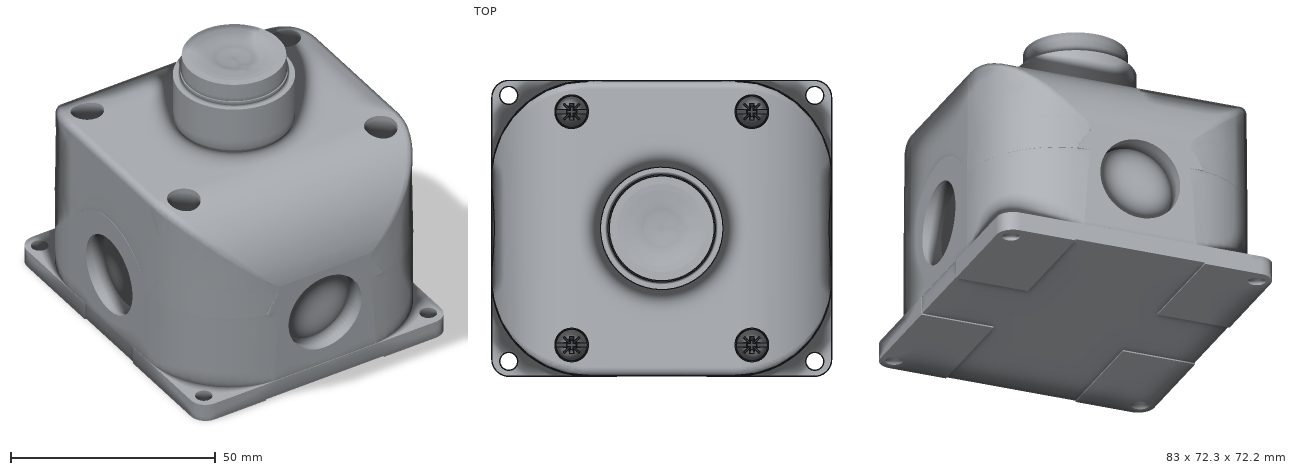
import cadquery as cq
import math

LENGTH = 83.0
WIDTH = 72.3
HEIGHT = 72.2
HALF_LENGTH = LENGTH / 2
HALF_WIDTH = WIDTH / 2

PLATE_THICKNESS = 4.8
PLATE_CORNER_RADIUS = 4.2
MOUNT_HOLE_DIAMETER = 4.3
MOUNT_HOLE_SPACING = (74.7, 64.9)
UNDERSIDE_RELIEF = 0.3
CHANNEL_ALONG_X_WIDTH = 34.2
CHANNEL_ALONG_Y_WIDTH = 22.0
EDGE_RELIEF = 0.2

COVER_TOP = 53.2
PARTING_HEIGHT = 25.3
COVER_DRAFT = 0.5
WALL_INSET = 0.1
WALL_HALF_WIDTH = HALF_WIDTH - WALL_INSET
BOX_CORNER_RADIUS = 23.5
END_LEAN = 0.14
TOP_FLAT_HALF_LENGTH = 19.3
SHOULDER_HEIGHT = 32.6
TOP_EDGE_FILLET = 1.8
RIM_HALF_LENGTH = 41.1

ENTRY_HEIGHT = 19.9
ENTRY_DIAMETER = 21.1
LONG_SIDE_ENTRY_DEPTH = 5.0
END_ENTRY_DEPTH = 5.7
TAB_TOP = 36.5
TAB_HALF_WIDTH = 16.6

SCREW_SPACING = (44.0, 56.9)
SCREW_WELL_DIAMETER = 8.2
SCREW_SEAT_HEIGHT = 41.5
SCREW_HEAD_DIAMETER = 7.6
SCREW_HEAD_HEIGHT = 2.65
SCREW_RIM_HEIGHT = 0.8
SLOT_WIDTH = 1.0
SLOT_DEPTH = 2.0
CROSS_LENGTH = 4.5
CROSS_WIDTH = 1.25
CROSS_DEPTH = 2.3
CROSS_FLOOR_LENGTH = 2.2
CROSS_FLOOR_WIDTH = 0.7
STAR_LENGTH = 5.3
STAR_WIDTH = 0.4
STAR_DEPTH = 1.3

NECK_RADIUS = 14.6
NECK_HEIGHT = 1.0
COLLAR_RADIUS = 14.9
COLLAR_TOP = 66.3
FLANGE_RADIUS = 13.1
FLANGE_TOP = 67.3
FLANGE_BOTTOM = 64.3
CAP_RADIUS = 12.8
RIM_INNER_RADIUS = 10.8
DISH_RADIUS = 9.3
DISH_EDGE_DROP = 0.2
DISH_DEPTH = 1.2


def arc_middle(center, radius, degrees):
    """Point of a circle at the given angle, used as the middle point of an arc."""
    angle = math.radians(degrees)
    return (center[0] + radius * math.cos(angle), center[1] + radius * math.sin(angle))


def base_walls():
    """Upright walls of the base, from the plate up to the parting height."""
    parting_lean = END_LEAN * (SHOULDER_HEIGHT - PARTING_HEIGHT) / (SHOULDER_HEIGHT - PLATE_THICKNESS)
    walls = (
        cq.Workplane("XY", origin=(0, 0, PLATE_THICKNESS))
        .rect(LENGTH - 2 * parting_lean, 2 * WALL_HALF_WIDTH)
        .extrude(PARTING_HEIGHT - PLATE_THICKNESS)
        .edges("|Z")
        .fillet(BOX_CORNER_RADIUS)
    )
    return walls.intersect(box_envelope())


def box_envelope():
    """Profile with leaning ends, rounded shoulders and a flat top, running the full width."""
    run = HALF_LENGTH - TOP_FLAT_HALF_LENGTH
    drop = COVER_TOP - SHOULDER_HEIGHT
    radius = (run**2 + drop**2) / (2 * drop)
    sweep = math.degrees(math.asin(run / radius))
    middle_x, middle_z = arc_middle((TOP_FLAT_HALF_LENGTH, COVER_TOP - radius), radius, 90 - sweep / 2)
    return (
        cq.Workplane("XZ")
        .moveTo(END_LEAN - HALF_LENGTH, PLATE_THICKNESS)
        .lineTo(HALF_LENGTH - END_LEAN, PLATE_THICKNESS)
        .lineTo(HALF_LENGTH, SHOULDER_HEIGHT)
        .threePointArc((middle_x, middle_z), (TOP_FLAT_HALF_LENGTH, COVER_TOP))
        .lineTo(-TOP_FLAT_HALF_LENGTH, COVER_TOP)
        .threePointArc((-middle_x, middle_z), (-HALF_LENGTH, SHOULDER_HEIGHT))
        .close()
        .extrude(HALF_WIDTH, both=True)
    )


def entry_sides():
    """Yield a plane on each of the four walls, facing into the box, with the entry depth there."""
    sides = [
        ((0, -WALL_HALF_WIDTH), (0, 1), (1, 0), LONG_SIDE_ENTRY_DEPTH),
        ((0, WALL_HALF_WIDTH), (0, -1), (-1, 0), LONG_SIDE_ENTRY_DEPTH),
        ((-HALF_LENGTH, 0), (1, 0), (0, -1), END_ENTRY_DEPTH),
        ((HALF_LENGTH, 0), (-1, 0), (0, 1), END_ENTRY_DEPTH),
    ]
    for (x, y), inward, across, depth in sides:
        plane = cq.Plane(origin=(x, y, 0), xDir=(*across, 0), normal=(*inward, 0))
        yield plane, depth


def entry_tabs():
    """Arched tabs of the base that rise into matching cutouts of the cover."""
    tabs = cq.Workplane()
    for plane, depth in entry_sides():
        tab = (
            cq.Workplane(plane)
            .moveTo(-TAB_HALF_WIDTH, -PARTING_HEIGHT)
            .threePointArc((0, -TAB_TOP), (TAB_HALF_WIDTH, -PARTING_HEIGHT))
            .close()
            .extrude(depth)
        )
        tabs = tabs.add(tab.val())
    return tabs.combine().intersect(box_envelope())


def entry_recesses():
    recesses = cq.Workplane()
    for plane, depth in entry_sides():
        recess = cq.Workplane(plane).center(0, -ENTRY_HEIGHT).circle(ENTRY_DIAMETER / 2).extrude(depth)
        recesses = recesses.add(recess.val())
    return recesses.combine()


def make_base():
    plate = (
        cq.Workplane("XY")
        .box(LENGTH, WIDTH, PLATE_THICKNESS, centered=(True, True, False))
        .edges("|Z")
        .fillet(PLATE_CORNER_RADIUS)
        .faces(">Z")
        .workplane()
        .rect(*MOUNT_HOLE_SPACING, forConstruction=True)
        .vertices()
        .hole(MOUNT_HOLE_DIAMETER)
    )
    channels = (
        cq.Workplane("XY")
        .rect(LENGTH, CHANNEL_ALONG_X_WIDTH)
        .extrude(UNDERSIDE_RELIEF)
        .union(cq.Workplane("XY").rect(CHANNEL_ALONG_Y_WIDTH, WIDTH).extrude(UNDERSIDE_RELIEF))
    )
    edge_notches = (
        cq.Workplane("XY")
        .pushPoints([(0, -HALF_WIDTH), (0, HALF_WIDTH)])
        .rect(CHANNEL_ALONG_Y_WIDTH, 2 * EDGE_RELIEF)
        .extrude(PLATE_THICKNESS)
    )
    return (
        plate.cut(channels)
        .cut(edge_notches)
        .union(base_walls())
        .union(entry_tabs())
        .cut(entry_recesses())
    )


def screw_head():
    """Domed screw head at the origin with a straight slot, a cross and a thin diagonal star."""
    head_radius = SCREW_HEAD_DIAMETER / 2
    dome_rise = SCREW_HEAD_HEIGHT - SCREW_RIM_HEIGHT
    dome_radius = (head_radius**2 + dome_rise**2) / (2 * dome_rise)
    dome = cq.Workplane("XY").sphere(dome_radius).translate((0, 0, SCREW_HEAD_HEIGHT - dome_radius))
    head = cq.Workplane("XY").circle(head_radius).extrude(SCREW_HEAD_HEIGHT).intersect(dome)
    top = cq.Workplane("XY", origin=(0, 0, SCREW_HEAD_HEIGHT))
    head = head.cut(top.rect(SCREW_HEAD_DIAMETER, SLOT_WIDTH).extrude(-SLOT_DEPTH))
    for angle in (0, 90):
        arm = (
            top.rect(CROSS_LENGTH, CROSS_WIDTH)
            .workplane(offset=-CROSS_DEPTH)
            .rect(CROSS_FLOOR_LENGTH, CROSS_FLOOR_WIDTH)
            .loft(combine=False)
        )
        star = top.rect(STAR_LENGTH, STAR_WIDTH).extrude(-STAR_DEPTH)
        head = head.cut(arm.rotate((0, 0, 0), (0, 0, 1), angle))
        head = head.cut(star.rotate((0, 0, 0), (0, 0, 1), angle + 45))
    return head


def cover_shell():
    """Drafted cover with round corners and shoulders, its long top rims rounded over."""
    end_excess = (SHOULDER_HEIGHT - PARTING_HEIGHT) * math.tan(math.radians(COVER_DRAFT))
    walls = (
        cq.Workplane("XY", origin=(0, 0, PARTING_HEIGHT))
        .sketch()
        .rect(LENGTH + 2 * end_excess, 2 * WALL_HALF_WIDTH)
        .vertices()
        .fillet(BOX_CORNER_RADIUS + end_excess)
        .finalize()
        .extrude(HEIGHT - PARTING_HEIGHT, taper=COVER_DRAFT)
    )
    shell = walls.intersect(box_envelope())
    middle_block = cq.Workplane("XY").box(2 * RIM_HALF_LENGTH, 2 * WIDTH, 2 * HEIGHT)
    end_slivers = shell.cut(middle_block)
    middle = shell.intersect(middle_block)
    rim_zone_bottom = (SHOULDER_HEIGHT + COVER_TOP) / 2
    for side in (-1, 1):
        rim_zone = cq.selectors.BoxSelector(
            (-RIM_HALF_LENGTH, 0, rim_zone_bottom),
            (RIM_HALF_LENGTH, side * WIDTH, HEIGHT),
            boundingbox=False,
        )
        middle = middle.edges(rim_zone).fillet(TOP_EDGE_FILLET)
    return middle.union(end_slivers)


def make_cover():
    cover = cover_shell().cut(entry_tabs()).cut(entry_recesses())
    seat_plane = cq.Workplane("XY", origin=(0, 0, SCREW_SEAT_HEIGHT))
    screw_places = seat_plane.rect(*SCREW_SPACING, forConstruction=True).vertices()
    cover = cover.cut(screw_places.circle(SCREW_WELL_DIAMETER / 2).extrude(COVER_TOP - SCREW_SEAT_HEIGHT))
    head = screw_head().val()
    return cover.union(screw_places.eachpoint(lambda place: head.moved(place)))


def make_collar():
    return (
        cq.Workplane("XY", origin=(0, 0, COVER_TOP))
        .circle(NECK_RADIUS)
        .extrude(NECK_HEIGHT)
        .faces(">Z")
        .workplane()
        .circle(COLLAR_RADIUS)
        .extrude(COLLAR_TOP - COVER_TOP - NECK_HEIGHT)
        .cut(cq.Workplane("XY", origin=(0, 0, FLANGE_BOTTOM)).circle(FLANGE_RADIUS).extrude(HEIGHT))
    )


def make_cap():
    dish_edge = HEIGHT - DISH_EDGE_DROP
    dish_floor = HEIGHT - DISH_DEPTH
    dish_sag = dish_edge - dish_floor
    dish_sphere = (DISH_RADIUS**2 + dish_sag**2) / (2 * dish_sag)
    half_angle = math.degrees(math.asin(DISH_RADIUS / dish_sphere)) / 2
    dish_middle = arc_middle((0, dish_floor + dish_sphere), dish_sphere, half_angle - 90)
    return (
        cq.Workplane("XZ")
        .moveTo(0, FLANGE_BOTTOM)
        .lineTo(FLANGE_RADIUS, FLANGE_BOTTOM)
        .lineTo(FLANGE_RADIUS, FLANGE_TOP)
        .lineTo(CAP_RADIUS, FLANGE_TOP)
        .lineTo(CAP_RADIUS, HEIGHT)
        .lineTo(RIM_INNER_RADIUS, HEIGHT)
        .lineTo(DISH_RADIUS, dish_edge)
        .threePointArc(dish_middle, (0, dish_floor))
        .close()
        .revolve(360, (0, 0, 0), (0, 1, 0))
    )


base = make_base()
cover = make_cover()
collar = make_collar()
cap = make_cap()

result = cq.Compound.makeCompound([
    base.solids().val(),
    cover.solids().val(),
    collar.solids().val(),
    cap.solids().val(),
])